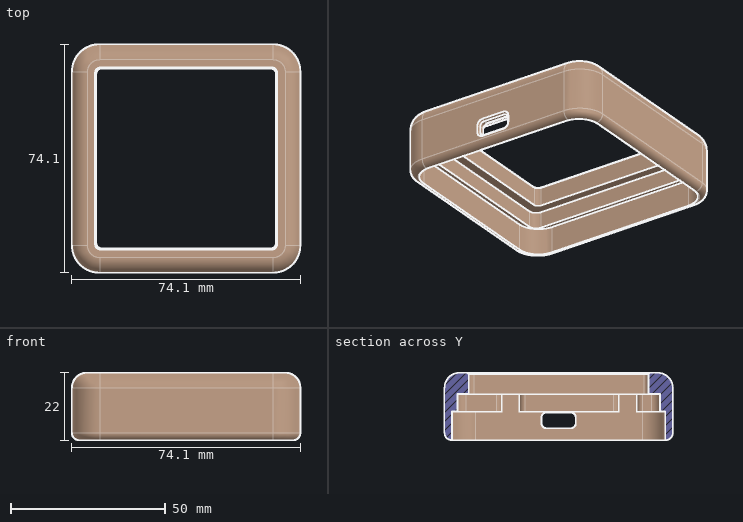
import cadquery as cq

OUTER_SIDE = 74.1
HEIGHT = 22.0
OUTER_CORNER_RADIUS = 9.0
TOP_EDGE_RADIUS = 5.0
BOTTOM_EDGE_RADIUS = 2.5

RIM_WIDTH = 8.0
WINDOW_SIDE = OUTER_SIDE - 2 * RIM_WIDTH
WINDOW_CORNER_RADIUS = 1.5
WINDOW_CHAMFER = 0.5

WALL = 2.55
CAVITY_SIDE = OUTER_SIDE - 2 * WALL
CAVITY_CORNER_RADIUS = 7.5
CAVITY_DEPTH = 9.3

LEDGE_WIDTH = 1.75
SEAT_SIDE = CAVITY_SIDE - 2 * LEDGE_WIDTH
SEAT_CORNER_RADIUS = 2.7
SEAT_CEILING = 15.0

GAP_WIDTH = 5.8
GAP_CENTERS_X = (-15.6, 22.4)

SLOT_WIDTH = 11.0
SLOT_HEIGHT = 5.0
SLOT_BOTTOM = 4.0
SLOT_CORNER_RADIUS = 1.5
SLOT_CHAMFER = 0.7

CHAMFER_ANGLE = 45


def rounded_rectangle(width, height, corner_radius):
    return cq.Sketch().rect(width, height).vertices().fillet(corner_radius)


def rounded_block(side, corner_radius, bottom, top):
    """Square prism centred on Z with rounded vertical edges."""
    profile = rounded_rectangle(side, side, corner_radius)
    return cq.Workplane("XY").workplane(offset=bottom).placeSketch(profile).extrude(top - bottom)


def outer_shell():
    shell = rounded_block(OUTER_SIDE, OUTER_CORNER_RADIUS, 0, HEIGHT)
    shell = shell.faces(">Z").edges().fillet(TOP_EDGE_RADIUS)
    return shell.faces("<Z").edges().fillet(BOTTOM_EDGE_RADIUS)


def window():
    """Window prism that flares out at the top face."""
    prism = rounded_block(WINDOW_SIDE, WINDOW_CORNER_RADIUS, 0, HEIGHT)
    profile = rounded_rectangle(WINDOW_SIDE, WINDOW_SIDE, WINDOW_CORNER_RADIUS)
    flare = (
        cq.Workplane("XY")
        .workplane(offset=HEIGHT - WINDOW_CHAMFER)
        .placeSketch(profile)
        .extrude(WINDOW_CHAMFER, taper=-CHAMFER_ANGLE)
    )
    return prism.union(flare)


def ledge_gap(center_x):
    """Gap in the +Y ledge that widens toward the middle around the rounded ledge ends."""
    wall_y = CAVITY_SIDE / 2
    seat_y = SEAT_SIDE / 2
    half_width = GAP_WIDTH / 2
    mouth_half_width = half_width + LEDGE_WIDTH
    arc_offset = LEDGE_WIDTH * (1 - 0.5 ** 0.5)
    arc_half_width = half_width + arc_offset
    arc_y = seat_y + arc_offset
    outline = (
        cq.Workplane("XY")
        .workplane(offset=CAVITY_DEPTH)
        .moveTo(center_x - half_width, wall_y)
        .threePointArc((center_x - arc_half_width, arc_y), (center_x - mouth_half_width, seat_y))
        .lineTo(center_x + mouth_half_width, seat_y)
        .threePointArc((center_x + arc_half_width, arc_y), (center_x + half_width, wall_y))
        .close()
    )
    return outline.extrude(SEAT_CEILING - CAVITY_DEPTH)


def connector_slot():
    """Slot through the +Y wall with a chamfered outer mouth."""
    profile = rounded_rectangle(SLOT_WIDTH, SLOT_HEIGHT, SLOT_CORNER_RADIUS)
    outer_y = OUTER_SIDE / 2
    center_z = SLOT_BOTTOM + SLOT_HEIGHT / 2
    outward = cq.Plane(origin=(0, outer_y - WALL, center_z), xDir=(-1, 0, 0), normal=(0, 1, 0))
    slot = cq.Workplane(outward).placeSketch(profile).extrude(WALL)
    flare = (
        cq.Workplane(outward)
        .workplane(offset=WALL - SLOT_CHAMFER)
        .placeSketch(profile)
        .extrude(SLOT_CHAMFER, taper=-CHAMFER_ANGLE)
    )
    return slot.union(flare)


result = outer_shell().cut(window())
result = result.cut(rounded_block(CAVITY_SIDE, CAVITY_CORNER_RADIUS, 0, CAVITY_DEPTH))
result = result.cut(rounded_block(SEAT_SIDE, SEAT_CORNER_RADIUS, 0, SEAT_CEILING))
for gap_x in GAP_CENTERS_X:
    result = result.cut(ledge_gap(gap_x))
result = result.cut(connector_slot())